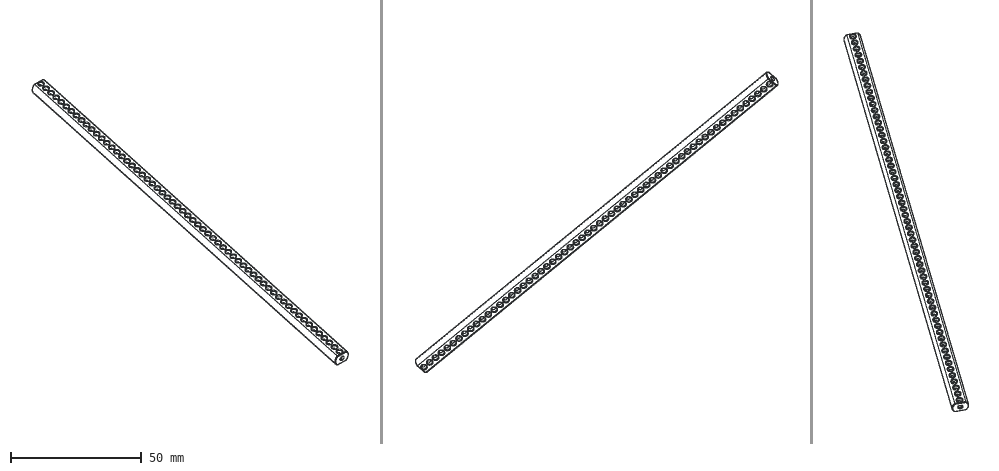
import cadquery as cq

length = 187.5
rod_diameter = 6.6
height = 5.0

edge_chamfer = 0.3

bore_diameter = 2.0
hole_count = 60
hole_pitch = length / hole_count


def make_bar():
    rod = cq.Workplane("YZ").circle(rod_diameter / 2).extrude(length / 2, both=True)
    flattened = rod.intersect(cq.Workplane("XY").box(length, rod_diameter, height))
    return flattened.faces("<X or >X").chamfer(edge_chamfer)


def make_cross_hole():
    """Solid of one vertical hole, widening to a chamfered mouth at each flat."""
    bore_radius = bore_diameter / 2
    mouth_radius = bore_radius + edge_chamfer
    flat_z = height / 2
    chamfer_z = flat_z - edge_chamfer
    half_profile = [
        (0, -flat_z),
        (mouth_radius, -flat_z),
        (bore_radius, -chamfer_z),
        (bore_radius, chamfer_z),
        (mouth_radius, flat_z),
        (0, flat_z),
    ]
    return cq.Workplane("XZ").polyline(half_profile).close().revolve(360, (0, 0), (0, 1))


def make_cross_hole_row():
    cross_hole = make_cross_hole().val()
    centres = cq.Workplane("XY").rarray(hole_pitch, 1, hole_count, 1)
    return centres.eachpoint(lambda place: cross_hole.moved(place))


def make_long_bore():
    return cq.Workplane("YZ").circle(bore_diameter / 2).extrude(length / 2, both=True)


result = make_bar().cut(make_cross_hole_row()).cut(make_long_bore())